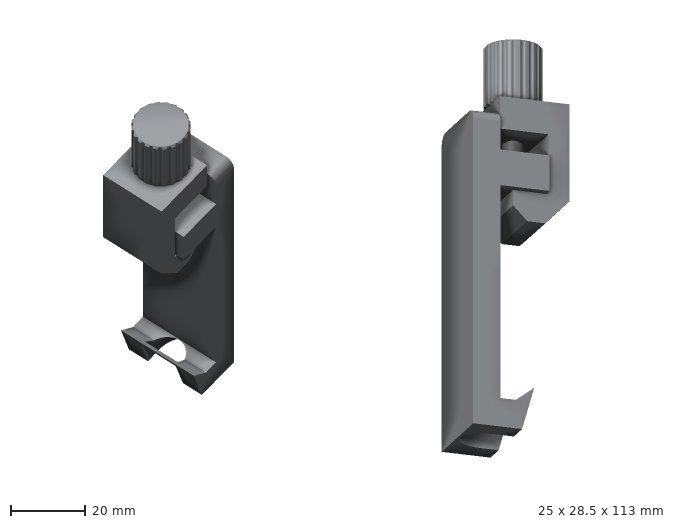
import cadquery as cq
import math


FRAME_WIDTH = 25.0
PLATE_THICKNESS = 7.8
PLATE_TOP = 90.2
PLATE_CORNER_RADIUS = 3.0
ARM_DEPTH = 21.9
ARM_BOTTOM = 68.9
ARM_TOP = 79.1
FOOT_DEPTH = 14.0
LIP_FLOOR = 8.1
LIP_SLOPE_DEPTH = 12.2
LIP_TIP_DEPTH = 17.5
LIP_TIP_HEIGHT = 12.2
NOTCH_RADIUS = 6.0
NOTCH_HEIGHT = 10.8
NOTCH_LEAN = 42
NOTCH_REAR_GAP = 0.2

JAW_WIDTH = 20.0
JAW_FRONT_DEPTH = 28.5
JAW_BACK_DEPTH = 8.6
JAW_INNER_DEPTH = 22.5
JAW_BOTTOM = 60.5
JAW_CEILING = 86.0
JAW_TOP = 95.3
HOOK_BACK_DEPTH = 12.3
HOOK_BACK_CHAMFER = 4.1
HOOK_FRONT_CHAMFER = 7.0

AXIS_DEPTH = 15.9
SCREW_RADIUS = 5.9 / 2
SCREW_TOP = 85.3
SPINDLE_RADIUS = 4.0 / 2
KNOB_RADIUS = 16.0 / 2
KNOB_TOP = 113.0
KNOB_CHAMFER = 0.6
FLUTE_COUNT = 20
FLUTE_DEPTH = 0.5
FLUTE_WIDTH = 1.5


def side_profile(points, width):
    """Extrude a closed outline of (depth, height) points, centred on X = 0."""
    outline = [(-depth, height) for depth, height in points]
    return cq.Workplane("YZ").polyline(outline).close().extrude(width / 2, both=True)


def upright_cylinder(depth, radius, bottom, top):
    """Vertical cylinder on X = 0 between two heights."""
    return cq.Workplane("XY", origin=(0, -depth, bottom)).circle(radius).extrude(top - bottom)


def make_notch_cutter():
    """Open-fronted slot with a round rear end. It leans forward as it rises and has a flat top."""
    lean = math.radians(NOTCH_LEAN)
    center_depth = PLATE_THICKNESS + NOTCH_REAR_GAP + NOTCH_RADIUS / math.cos(lean)
    leaning_plane = cq.Plane(
        origin=(0, -center_depth, LIP_FLOOR),
        xDir=(1, 0, 0),
        normal=(0, -math.sin(lean), math.cos(lean)),
    )
    reach = 2 * LIP_TIP_DEPTH
    slot = (
        cq.Workplane(leaning_plane)
        .moveTo(NOTCH_RADIUS, 0)
        .threePointArc((0, NOTCH_RADIUS), (-NOTCH_RADIUS, 0))
        .lineTo(-NOTCH_RADIUS, -reach)
        .lineTo(NOTCH_RADIUS, -reach)
        .close()
        .extrude(reach, both=True)
    )
    height_limit = cq.Workplane("XY").rect(FRAME_WIDTH, 2 * reach).extrude(NOTCH_HEIGHT)
    return slot.intersect(height_limit)


def make_frame():
    body = side_profile(
        [
            (0, 0),
            (FOOT_DEPTH, 0),
            (LIP_TIP_DEPTH, LIP_TIP_HEIGHT),
            (LIP_SLOPE_DEPTH, LIP_FLOOR),
            (PLATE_THICKNESS, LIP_FLOOR),
            (PLATE_THICKNESS, ARM_BOTTOM),
            (ARM_DEPTH, ARM_BOTTOM),
            (ARM_DEPTH, ARM_TOP),
            (PLATE_THICKNESS, ARM_TOP),
            (PLATE_THICKNESS, PLATE_TOP),
            (0, PLATE_TOP),
        ],
        FRAME_WIDTH,
    )
    top_corners = cq.selectors.BoxSelector(
        (-FRAME_WIDTH, -ARM_DEPTH, PLATE_TOP - PLATE_CORNER_RADIUS),
        (FRAME_WIDTH, ARM_DEPTH, PLATE_TOP + PLATE_CORNER_RADIUS),
    )
    body = body.edges("|Y").edges(top_corners).fillet(PLATE_CORNER_RADIUS)
    body = body.cut(make_notch_cutter())
    return body.cut(upright_cylinder(AXIS_DEPTH, SCREW_RADIUS, ARM_BOTTOM, ARM_TOP))


def make_jaw():
    body = side_profile(
        [
            (JAW_BACK_DEPTH, JAW_TOP),
            (JAW_FRONT_DEPTH, JAW_TOP),
            (JAW_FRONT_DEPTH, JAW_BOTTOM + HOOK_FRONT_CHAMFER),
            (JAW_FRONT_DEPTH - HOOK_FRONT_CHAMFER, JAW_BOTTOM),
            (HOOK_BACK_DEPTH + HOOK_BACK_CHAMFER, JAW_BOTTOM),
            (HOOK_BACK_DEPTH, JAW_BOTTOM + HOOK_BACK_CHAMFER),
            (HOOK_BACK_DEPTH, ARM_BOTTOM),
            (JAW_INNER_DEPTH, ARM_BOTTOM),
            (JAW_INNER_DEPTH, JAW_CEILING),
            (JAW_BACK_DEPTH, JAW_CEILING),
        ],
        JAW_WIDTH,
    )
    return body.cut(upright_cylinder(AXIS_DEPTH, SPINDLE_RADIUS, JAW_CEILING, JAW_TOP))


def make_screw():
    return upright_cylinder(AXIS_DEPTH, SCREW_RADIUS, ARM_BOTTOM, SCREW_TOP)


def make_spindle():
    return upright_cylinder(AXIS_DEPTH, SPINDLE_RADIUS, SCREW_TOP, JAW_TOP)


def make_knob():
    body = upright_cylinder(AXIS_DEPTH, KNOB_RADIUS, JAW_TOP, KNOB_TOP)
    body = body.edges("%CIRCLE").chamfer(KNOB_CHAMFER)
    cutter_radius = ((FLUTE_WIDTH / 2) ** 2 + FLUTE_DEPTH**2) / (2 * FLUTE_DEPTH)
    cutter_distance = KNOB_RADIUS - FLUTE_DEPTH + cutter_radius
    flutes = (
        cq.Workplane("XY", origin=(0, -AXIS_DEPTH, JAW_TOP))
        .polarArray(cutter_distance, 0, 360, FLUTE_COUNT)
        .circle(cutter_radius)
        .extrude(KNOB_TOP - JAW_TOP)
    )
    return body.cut(flutes)


frame = make_frame()
jaw = make_jaw()
screw = make_screw()
spindle = make_spindle()
knob = make_knob()

result = cq.Compound.makeCompound(
    [frame.val(), jaw.val(), screw.val(), spindle.val(), knob.val()]
)